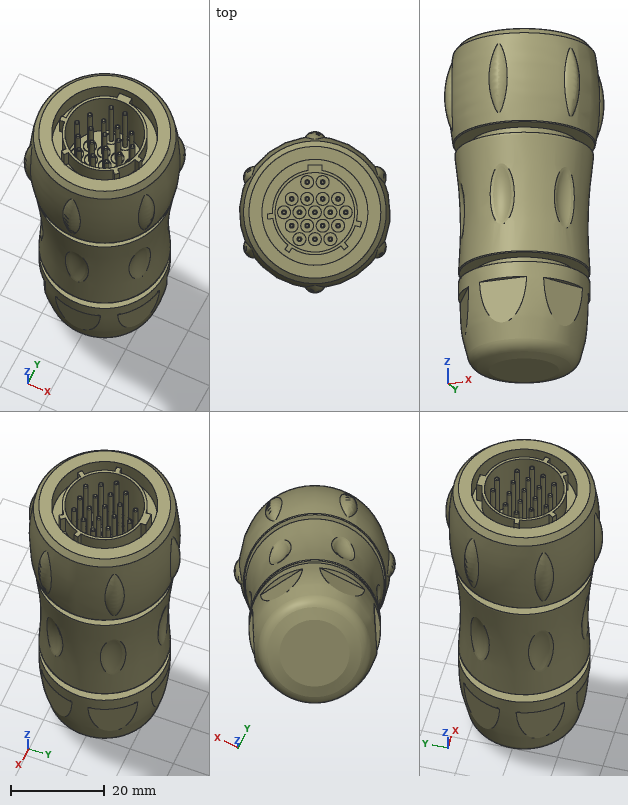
import cadquery as cq
import math

total_length = 72.65
end_cone_top = 0.7
nut_rim_height = 2.9
flat_bottom = 6.55
nut_shoulder_height = 14.5
flat_top = 16.35
nut_top = 19.75
sleeve_bottom = 21.95
sleeve_top = 48.8
sleeve_lip = 0.5
ring_bottom = 51.15
ring_shoulder = 71.3
edge_break = 0.2

end_face_radius = 7.5
end_cone_radius = 10.1
nut_rim_radius = 12.05
nut_radius = 14.1
nut_shoulder_radius = 14.0
nut_rim_direction = (-0.3, -1)
nut_neck_radius = 10.7
sleeve_bottom_radius = 14.1
sleeve_waist_radius = 13.7
sleeve_top_radius = 14.8
ring_neck_radius = 11.55
ring_edge_radius = 15.25
ring_width = 32.3
ring_belly_radius = ring_width / 2
ring_face_radius = 14.1

grip_count = 6
grip_start_angle = -90.0
flat_distance = 13.0
width_over_ribs = 34.5
rib_section_radius = 2.4
rib_half_length = 9.4
dimple_half_width = 2.2
dimple_half_length = 6.6
dimple_depth = 0.95
bevel_half_width = 2.75
bevel_half_length = 6.75
bevel_depth = 0.65
bevel_inner_depth = 0.2

socket_radius = 11.3
socket_depth = 4.95
shell_outer_radius = 9.1
shell_inner_radius = 8.5
shell_depth = 14.5
key_outer_radius = 10.2
main_key_width = 3.0
main_key_angle = 90.0
small_key_width = 1.1
small_key_angles = (185.0, 234.0, 311.0, 345.0)
pin_radius = 0.5
pin_tip_break = 0.2
pin_tip_gap = 0.3
pin_recess_radius = 1.4
pin_recess_depth = 0.35
pin_pitch = 3.305
pin_row_pitch = 2.87
top_row_offset = 6.5
pin_rows = (
    (2, top_row_offset),
    (4, pin_row_pitch),
    (5, 0.0),
    (4, -pin_row_pitch),
    (3, -2 * pin_row_pitch),
)

ring_middle = (ring_bottom + ring_shoulder) / 2
sleeve_middle = (sleeve_bottom + sleeve_top) / 2
socket_floor = total_length - socket_depth
shell_floor = total_length - shell_depth


def cylinder(radius, bottom, top):
    return cq.Workplane("XY").workplane(offset=bottom).circle(radius).extrude(top - bottom)


def arc_height(radius, half_chord):
    """Height of a circular arc above its chord."""
    return radius - math.sqrt(radius**2 - half_chord**2)


def arc_radius(height, half_chord):
    """Radius of a circular arc from its height above its chord."""
    return (half_chord**2 + height**2) / (2 * height)


def around_axis(shape):
    """Copies of a shape made on the +X side, one at each grip position."""
    step = 360.0 / grip_count
    copies = cq.Workplane("XY")
    for index in range(grip_count):
        copies = copies.add(shape.rotate((0, 0, 0), (0, 0, 1), grip_start_angle + index * step))
    return copies


def turned_body():
    """Coupling ring, sleeve and nut revolved as one outline, from the mating face down."""
    outline = (
        cq.Workplane("XZ")
        .moveTo(0, total_length)
        .lineTo(ring_face_radius, total_length)
        .lineTo(ring_edge_radius, ring_shoulder)
        .threePointArc((ring_belly_radius, ring_middle), (ring_edge_radius, ring_bottom + edge_break))
        .lineTo(ring_edge_radius - edge_break, ring_bottom)
        .lineTo(ring_neck_radius, ring_bottom)
        .lineTo(ring_neck_radius, sleeve_top)
        .lineTo(sleeve_top_radius, sleeve_top)
        .lineTo(sleeve_top_radius, sleeve_top - sleeve_lip)
        .threePointArc(
            (sleeve_waist_radius, sleeve_middle),
            (sleeve_bottom_radius, sleeve_bottom + edge_break),
        )
        .lineTo(sleeve_bottom_radius - edge_break, sleeve_bottom)
        .lineTo(nut_neck_radius, sleeve_bottom)
        .lineTo(nut_neck_radius, nut_top)
        .lineTo(nut_radius, nut_top)
        .spline(
            [
                (nut_shoulder_radius, nut_shoulder_height),
                (flat_distance, flat_bottom),
                (nut_rim_radius, nut_rim_height),
            ],
            tangents=[(0, -1), nut_rim_direction],
            includeCurrent=True,
        )
        .tangentArcPoint((end_cone_radius, end_cone_top), relative=False)
        .lineTo(end_face_radius, 0)
        .lineTo(0, 0)
        .close()
    )
    return outline.revolve(360, (0, 0, 0), (0, 1, 0))


def nut_flats():
    """Blocks that plane the wrench flats on the nut."""
    block = cq.Workplane("XY").box(nut_radius, nut_radius, flat_top, centered=(False, True, False))
    return around_axis(block.translate((flat_distance, 0, 0)))


def spindle(half_length, radius, axis_distance, height):
    """Pointed body of revolution whose own axis is parallel to Z."""
    return (
        cq.Workplane("XZ")
        .moveTo(0, -half_length)
        .threePointArc((radius, 0), (0, half_length))
        .close()
        .revolve(360, (0, 0, 0), (0, 1, 0))
        .translate((axis_distance, 0, height))
    )


def ring_ribs():
    """Raised lens-shaped ribs on the coupling ring."""
    axis_distance = width_over_ribs / 2 - rib_section_radius
    return around_axis(spindle(rib_half_length, rib_section_radius, axis_distance, ring_middle))


def sleeve_hollow(half_width, half_length, depth, side_depth):
    """Cutter for oval hollows at the sleeve waist.

    depth is below the waist at the centre; side_depth is below the surface at half_width.
    """
    rise_across = depth - side_depth - arc_height(sleeve_waist_radius, half_width)
    section_radius = arc_radius(rise_across, half_width)
    sleeve_flare = (sleeve_top_radius + sleeve_bottom_radius) / 2 - sleeve_waist_radius
    sleeve_half_length = (sleeve_top - sleeve_bottom) / 2
    rise_along = depth + sleeve_flare * (half_length / sleeve_half_length) ** 2
    long_radius = arc_radius(rise_along, half_length)
    spindle_half_length = math.sqrt(long_radius**2 - (long_radius - section_radius) ** 2)
    axis_distance = sleeve_waist_radius - depth + section_radius
    cutter = spindle(spindle_half_length, section_radius, axis_distance, sleeve_middle)
    lean = math.degrees(math.atan2(sleeve_top_radius - sleeve_bottom_radius, sleeve_top - sleeve_bottom))
    waist_point = (sleeve_waist_radius, 0, sleeve_middle)
    waist_tangent_end = (sleeve_waist_radius, 1, sleeve_middle)
    return around_axis(cutter.rotate(waist_point, waist_tangent_end, lean))


def key(width, angle):
    """Radial key on the outside of the contact shell."""
    bar = cq.Workplane("XY").box(key_outer_radius, width, socket_depth, centered=(False, True, False))
    return bar.translate((0, 0, socket_floor)).rotate((0, 0, 0), (0, 0, 1), angle)


def socket_gap():
    """Ring-shaped gap between the coupling ring and the keyed contact shell."""
    gap = cylinder(socket_radius, socket_floor, total_length)
    gap = gap.cut(cylinder(shell_outer_radius, socket_floor, total_length))
    gap = gap.cut(key(main_key_width, main_key_angle))
    for angle in small_key_angles:
        gap = gap.cut(key(small_key_width, angle))
    return gap


def pin_points():
    return [
        ((column - (count - 1) / 2) * pin_pitch, row_y)
        for count, row_y in pin_rows
        for column in range(count)
    ]


def pin_recesses():
    """Shallow round recesses in the shell floor, one around each pin."""
    floor = cq.Workplane("XY").workplane(offset=shell_floor - pin_recess_depth)
    return floor.pushPoints(pin_points()).circle(pin_recess_radius).extrude(pin_recess_depth)


def contact_pins():
    bottom = shell_floor - 2 * pin_recess_depth
    height = total_length - pin_tip_gap - bottom
    base = cq.Workplane("XY").workplane(offset=bottom)
    pins = base.pushPoints(pin_points()).circle(pin_radius).extrude(height)
    return pins.faces(">Z").edges().chamfer(pin_tip_break)


body = turned_body().cut(nut_flats())
body = body.cut(sleeve_hollow(bevel_half_width, bevel_half_length, bevel_depth, 0.0))
body = body.cut(sleeve_hollow(dimple_half_width, dimple_half_length, dimple_depth, bevel_inner_depth))
body = body.union(ring_ribs())
body = body.cut(socket_gap())
body = body.cut(cylinder(shell_inner_radius, shell_floor, total_length))
body = body.cut(pin_recesses())
result = body.union(contact_pins())